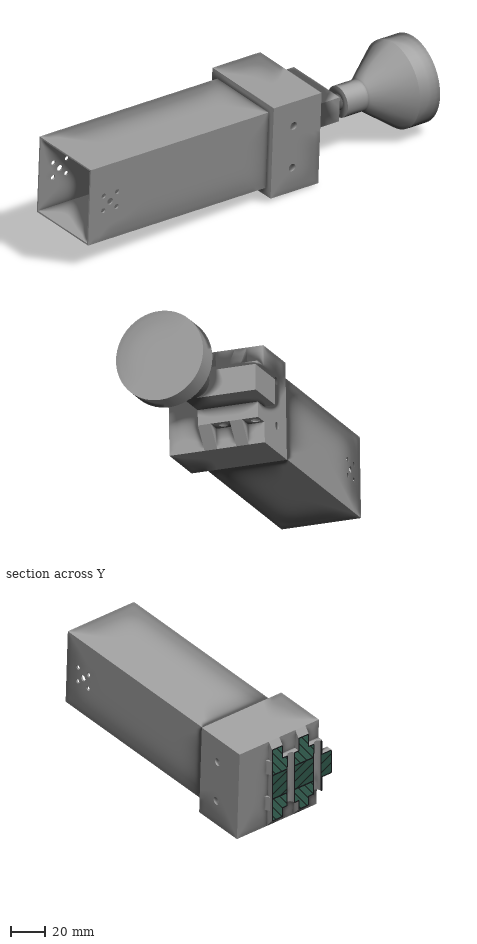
import cadquery as cq

TILT = 2.35

tube_side = 50.0
tube_wall = 1.0
tube_exposed = 130.0
cable_hole_d = 4.0
screw_hole_d = 3.0
hole_group_y = 15.2
screw_hole_offset = 5.0

socket_side = 60.0
socket_length = 35.0
socket_back_wall = 2.5
side_hole_d = 5.0
side_hole_from_front = 15.2
side_hole_z = 14.0
fork_depth = 10.0
fork_half_height = 17.5
fork_hole_d = 5.5
fork_hole_from_socket = 4.5
fork_hole_xs = (-26.2, -6.2)
rib_starts = (-19.8, 0.0)
inner_rib_width = 7.7
toe_length = 3.0
toe_width = 2.0

arm_width = 45.0
arm_height = 16.0
arm_length = 30.8
arm_overhang = 7.0
pin_d = 10.0
pin_length = 5.0
neck_d = 19.5
neck_length = 15.2
cone_length = 24.5
foot_d = 55.0
foot_length = 14.6

socket_half = socket_side / 2
socket_front_y = tube_exposed
socket_back_y = socket_front_y + socket_length
tube_length = tube_exposed + socket_length - socket_back_wall
side_hole_y = socket_front_y + side_hole_from_front
fork_hole_y = socket_back_y + fork_hole_from_socket
arm_left = -socket_half - arm_overhang
arm_right = arm_left + arm_width
rib_widths = (inner_rib_width, arm_right - rib_starts[1])
arm_back_y = socket_back_y + arm_length


def block(x, y, z):
    """Box spanning the given (low, high) pairs."""
    size = (x[1] - x[0], y[1] - y[0], z[1] - z[0])
    return cq.Workplane("XY").box(*size, centered=False).translate((x[0], y[0], z[0]))


def centred_bar(side, front_y, back_y):
    """Square bar centred on the tube axis."""
    half = side / 2
    return block((-half, half), (front_y, back_y), (-half, half))


def cross_holes(diameter, places):
    """Cylinders along X through the whole width, at (Y, Z) places."""
    return (
        cq.Workplane("YZ").pushPoints(places)
        .circle(diameter / 2).extrude(socket_half, both=True)
    )


def fork_holes():
    """Vertical clamp holes shared by the fork and the arm."""
    places = [(x, fork_hole_y) for x in fork_hole_xs]
    return (
        cq.Workplane("XY").pushPoints(places)
        .circle(fork_hole_d / 2).extrude(socket_half, both=True)
    )


def side_holes():
    """Holes shared by the socket and the tube inside it."""
    return cross_holes(side_hole_d, [(side_hole_y, z) for z in (-side_hole_z, side_hole_z)])


def make_tube():
    outer = centred_bar(tube_side, 0, tube_length)
    bore = centred_bar(tube_side - 2 * tube_wall, 0, tube_length)
    screw_places = [
        (hole_group_y + dy, dz)
        for dy in (-screw_hole_offset, screw_hole_offset)
        for dz in (-screw_hole_offset, screw_hole_offset)
    ]
    return (
        outer.cut(bore)
        .cut(cross_holes(cable_hole_d, [(hole_group_y, 0)]))
        .cut(cross_holes(screw_hole_d, screw_places))
        .cut(side_holes())
    )


def make_rib(start_x, width):
    """Triangular ribs from the socket back onto both fork prongs."""
    back_y = socket_back_y + fork_depth
    profile = [
        (socket_back_y, -socket_half),
        (back_y, -fork_half_height),
        (back_y, fork_half_height),
        (socket_back_y, socket_half),
    ]
    return cq.Workplane("YZ").polyline(profile).close().extrude(width).translate((start_x, 0, 0))


def make_toe():
    """Small wedge between the free end of the fork and the socket back."""
    profile = [
        (arm_right, socket_back_y),
        (arm_right + toe_width, socket_back_y),
        (arm_right, socket_back_y + toe_length),
    ]
    return (
        cq.Workplane("XY").polyline(profile).close()
        .extrude(fork_half_height, both=True)
    )


def make_bracket():
    socket = centred_bar(socket_side, socket_front_y, socket_back_y)
    pocket = centred_bar(tube_side, socket_front_y, tube_length)
    body = socket.cut(pocket).cut(side_holes())
    fork = block(
        (-socket_half, arm_right),
        (socket_back_y, socket_back_y + fork_depth),
        (-fork_half_height, fork_half_height),
    )
    for start_x, width in zip(rib_starts, rib_widths):
        fork = fork.union(make_rib(start_x, width))
    fork = fork.union(make_toe())
    slot = block(
        (-socket_half, socket_half),
        (socket_back_y, arm_back_y),
        (-arm_height / 2, arm_height / 2),
    )
    return body.union(fork.cut(slot).cut(fork_holes()))


def make_foot():
    """Pin, neck, cone and disc turned about one axis along Y."""
    pin_end = arm_back_y + pin_length
    neck_end = pin_end + neck_length
    cone_end = neck_end + cone_length
    foot_end = cone_end + foot_length
    profile = [
        (0, arm_back_y),
        (pin_d / 2, arm_back_y),
        (pin_d / 2, pin_end),
        (neck_d / 2, pin_end),
        (neck_d / 2, neck_end),
        (foot_d / 2, cone_end),
        (foot_d / 2, foot_end),
        (0, foot_end),
    ]
    return cq.Workplane("XY").polyline(profile).close().revolve(360, (0, 0, 0), (0, 1, 0))


def make_arm():
    bar = block(
        (arm_left, arm_right),
        (socket_back_y, arm_back_y),
        (-arm_height / 2, arm_height / 2),
    )
    return bar.cut(fork_holes()).union(make_foot())


def tilted(body):
    return body.rotate((0, 0, 0), (1, 0, 0), -TILT)


tube = tilted(make_tube())
bracket = tilted(make_bracket())
arm = tilted(make_arm())

result = cq.Compound.makeCompound([tube.val(), bracket.val(), arm.val()])